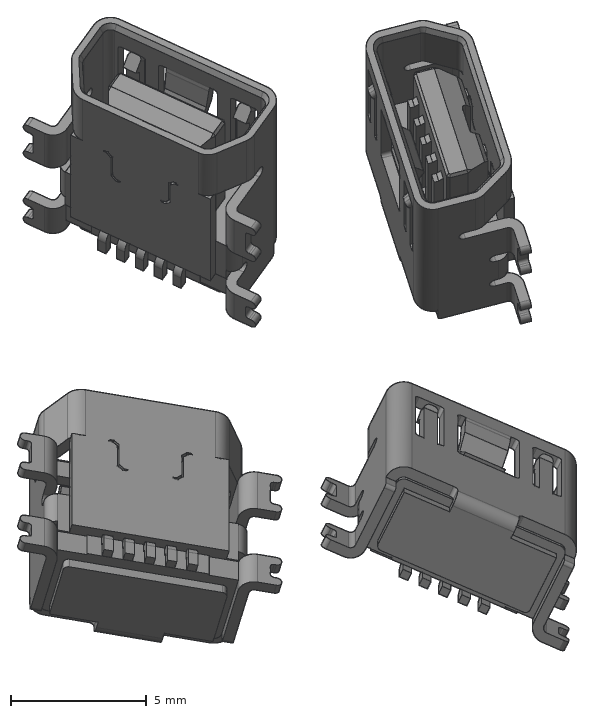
import cadquery as cq
import math


height = 9.0
half_width = 3.835
shell_front = 0.08
shell_back = 3.99
wall = 0.41
corner_radius = 0.72
keyed_front_half = 2.857
straight_y = 2.6
keyed_side_y = 1.625
skirt_z = 6.5
mouth_chamfer = 0.14
mouth_chamfer_depth = 0.22
inner_half = half_width - wall
shell_back_inner = shell_back - wall
inner_radius = corner_radius - wall

plate_half_width = 2.97
plate_bottom = 1.52
plate_back = shell_front + wall
seam_gap = 0.07

foot_thickness = 0.41
foot_reach = 4.95
leg_bend_inner = 0.2
leg_bend_outer = leg_bend_inner + wall
leg_bend_y = foot_thickness + leg_bend_inner
leg_spans = ((0.0, plate_bottom), (4.0, 6.0))
prong_width = 0.41
prong_length = 0.43
prong_root_radius = 0.14

side_slots = ((plate_bottom, 2.0, 1.29), (3.5, 4.0, 1.29), (6.0, skirt_z, 2.46))
tab_low, tab_high = 2.0, 3.5
tab_front = 0.463
tab_radius = 0.48

neck_half = 1.25
relief_z = 0.7
relief_radius = 0.17
side_back_y = 3.27
side_corner_radius = 0.15
flap_thickness = 0.41
flap_half_width = 3.095
flap_front = 0.8
flap_corner_radius = 0.2
flap_bend_inner = 0.1
flap_bend_outer = 0.45

window_top = 7.95
window_bottom = 4.2
window_radius = 0.15
centre_window_half = 1.25
latch_window_x = 2.39
latch_window_half = 0.58
latch_x = 2.345
latch_half = 0.275
latch_apex_y = 4.14
latch_apex_z = 7.31
latch_tip_rise = 0.33
latch_thickness = 0.57
latch_tip_radius = 0.2
latch_inner_y = 3.33
spring_top_half = 0.92
spring_tip_half = 0.82
spring_root_y, spring_root_z = 3.54, 7.78
spring_knee_y, spring_knee_z = 3.40, 6.95
spring_crest_y, spring_crest_z = 2.9, 6.2
spring_tip_y, spring_tip_z = 3.3, 5.3
spring_crest_radius = 0.3

housing_bottom = 0.51
housing_floor = 3.52
housing_front = 0.463
base_front = 0.52
base_step_half = 2.31
base_step_front = 0.463
tongue_top = 8.18
tongue_half = 2.28
tongue_back = 2.463
tongue_front = 0.74
tongue_side_y = 1.66
tongue_front_half = 1.75
tongue_chamfer = 0.1
slope_start_y = 1.667
slope_end_y = 0.9
slope_end_z = 7.75
nose_z = 7.55
notch_half = 0.6
notch_depth_y = 1.08
notch_radius = 0.15

pitch = 0.8
contact_width = 0.33
contact_back = 2.82
contact_fold_y = 2.64
contact_top = 7.0
contact_lead = 0.12
rail_front = 0.665
pin_width = 0.35
pin_thickness = 0.33
pin_top = 1.46
pin_bottom = 0.37
pin_bend_outer = 0.46


def block(x0, x1, y0, y1, z0, z1):
    """Box between two corners."""
    return (cq.Workplane("XY").box(x1 - x0, y1 - y0, z1 - z0, centered=False)
            .translate((x0, y0, z0)))


def both_sides(shape):
    """Shape together with its mirror image about X = 0."""
    return shape.union(shape.mirror("YZ"))


def side_profile(points, x0, x1):
    """Closed polygon of (Y, Z) points extruded from x0 to x1."""
    return cq.Workplane("YZ").workplane(offset=x0).polyline(points).close().extrude(x1 - x0)


def keyed_tube():
    """Full-height D-shaped tube with a chamfered mouth."""
    outer = (cq.Workplane("XY")
             .polyline([(-keyed_front_half, shell_front), (keyed_front_half, shell_front),
                        (half_width, keyed_side_y), (half_width, shell_back),
                        (-half_width, shell_back), (-half_width, keyed_side_y)])
             .close().extrude(height)
             .edges("|Z").fillet(corner_radius))
    cavity = (outer.faces("<Z").wires().toPending().offset2D(-wall)
              .extrude(height, combine=False))
    tube = outer.cut(cavity)
    mouth = cq.selectors.BoxSelector(
        (-wall, shell_front + wall / 2, height - wall / 2),
        (wall, shell_front + 2 * wall, height + wall / 2))
    return tube.faces(">Z").edges(mouth).chamfer(mouth_chamfer, mouth_chamfer_depth)


def side_slot(z0, z1, depth_y):
    """Round-ended slot through both side walls, open to the front."""
    radius = (z1 - z0) / 2
    return (cq.Workplane("YZ").moveTo(plate_back, z0).lineTo(depth_y - radius, z0)
            .threePointArc((depth_y, z0 + radius), (depth_y - radius, z1))
            .lineTo(plate_back, z1).close().extrude(half_width, both=True))


def flap_reliefs():
    """Cut-outs beside the flap neck, across the lower back corners."""
    relief = block(neck_half, half_width, side_back_y, shell_back, 0, relief_z)
    return both_sides(relief.edges("|Y and <X and >Z").fillet(relief_radius))


def shell_walls():
    """Tube whose keyed front gives way to straight side walls at the bottom."""
    walls = keyed_tube().cut(block(-half_width, half_width, shell_front, straight_y, 0, skirt_z))
    side = block(inner_half, half_width, leg_bend_y, straight_y, 0, skirt_z)
    walls = walls.union(both_sides(side)).cut(flap_reliefs())
    walls = walls.cut(block(-neck_half, neck_half, side_back_y, shell_back, 0, relief_z))
    lower_corners = cq.selectors.BoxSelector(
        (-foot_reach, side_back_y - wall / 2, -wall / 2),
        (foot_reach, side_back_y + wall / 2, wall / 2))
    walls = walls.edges("|X").edges(lower_corners).fillet(side_corner_radius)
    for slot_low, slot_high, slot_depth_y in side_slots:
        walls = walls.cut(side_slot(slot_low, slot_high, slot_depth_y))
    tab_bend_y = tab_front + tab_radius
    return walls.cut(block(-half_width, half_width, 0, tab_bend_y, tab_low, tab_high))


def tab():
    """Quarter-round end of the side wall, curled against the housing."""
    return (cq.Workplane("XY").workplane(offset=tab_low)
            .moveTo(inner_half, tab_front)
            .radiusArc((half_width, tab_front + tab_radius), -tab_radius)
            .lineTo(inner_half, tab_front + tab_radius).close()
            .extrude(tab_high - tab_low))


def leg(z0, z1):
    """Right-hand leg: side wall bent outwards into a forked foot."""
    tip_radius = prong_width / 2
    tip_x = foot_reach - tip_radius
    outline = (cq.Workplane("XY").workplane(offset=z0)
               .moveTo(half_width, leg_bend_y)
               .radiusArc((half_width + leg_bend_inner, foot_thickness), -leg_bend_inner)
               .lineTo(tip_x, foot_thickness).lineTo(tip_x, 0)
               .lineTo(half_width + leg_bend_inner, 0)
               .radiusArc((inner_half, leg_bend_y), leg_bend_outer)
               .close())
    fork = (block(foot_reach - prong_length, foot_reach, 0, foot_thickness,
                  z0 + prong_width, z1 - prong_width)
            .edges("|Y and <X").fillet(prong_root_radius))
    tips = (cq.Workplane("XZ")
            .pushPoints([(tip_x, z0 + tip_radius), (tip_x, z1 - tip_radius)])
            .circle(tip_radius).extrude(-foot_thickness))
    return outline.extrude(z1 - z0).cut(fork).union(tips)


def front_plate():
    """Flat plate below the keyed section."""
    return block(-plate_half_width, plate_half_width, shell_front, plate_back,
                 plate_bottom, skirt_z)


def seam():
    """Right-hand edge of the dovetail joint, a thin gap in the front plate."""
    centre_x, low, high = 1.22, 5.0, 6.47
    bevel, lead = 0.2, 0.13
    path = [(centre_x - bevel - lead, low), (centre_x - bevel, low),
            (centre_x, low + bevel), (centre_x, high - bevel),
            (centre_x + bevel, high), (centre_x + bevel + lead, high)]
    half_gap = seam_gap / 2
    left = [(x - half_gap, z + half_gap) for x, z in path]
    right = [(x + half_gap, z - half_gap) for x, z in reversed(path)]
    return (cq.Workplane("XZ", origin=(0, shell_front, 0))
            .polyline(left + right).close().extrude(-wall))


def flap():
    """Strip bent from the back wall under the housing, widening to a plate."""
    bend_y = shell_back - flap_bend_outer
    inner_y = shell_back_inner
    neck = (cq.Workplane("YZ").moveTo(shell_back, relief_z)
            .lineTo(shell_back, flap_bend_outer)
            .radiusArc((bend_y, 0), flap_bend_outer)
            .lineTo(flap_front, 0).lineTo(flap_front, flap_thickness)
            .lineTo(inner_y - flap_bend_inner, flap_thickness)
            .radiusArc((inner_y, flap_thickness + flap_bend_inner), -flap_bend_inner)
            .lineTo(inner_y, relief_z).close()
            .extrude(neck_half, both=True))
    plate = (block(-flap_half_width, flap_half_width, flap_front, side_back_y,
                   0, flap_thickness)
             .edges("|Z and <Y").fillet(flap_corner_radius))
    trim = block(-neck_half, neck_half, flap_front, bend_y, 0, flap_thickness)
    return neck.union(plate).union(trim)


def back_window(centre_x, half):
    """Rounded window through the back wall."""
    return (block(centre_x - half, centre_x + half, shell_back_inner - wall, shell_back,
                  window_bottom, window_top)
            .edges("|Y").fillet(window_radius))


def latch():
    """Right-hand latch spring, bent inwards and then out through its window."""
    kink = latch_apex_y - shell_back
    tip_y, tip_z = latch_apex_y - latch_tip_rise, latch_apex_z + latch_tip_rise
    thickness_shift = latch_thickness * math.sqrt(0.5)
    heel_y, heel_z = tip_y - thickness_shift, tip_z - thickness_shift
    inner_z = heel_z - (heel_y - latch_inner_y)
    crook_z = inner_z - (shell_back_inner - latch_inner_y)
    body = side_profile([(shell_back, window_bottom), (shell_back, latch_apex_z - kink),
                         (latch_apex_y, latch_apex_z), (tip_y, tip_z), (heel_y, heel_z),
                         (latch_inner_y, inner_z), (shell_back_inner, crook_z),
                         (shell_back_inner, window_bottom)],
                        latch_x - latch_half, latch_x + latch_half)
    tip_edges = body.edges(cq.selectors.ParallelDirSelector(cq.Vector(0, -1, 1))).edges(">Z")
    return tip_edges.fillet(latch_tip_radius)


def centre_spring():
    """Tapered leaf hanging in the centre window, with a crest pressing inwards."""
    face = [(shell_back_inner, window_top), (spring_root_y, spring_root_z),
            (spring_knee_y, spring_knee_z), (spring_crest_y, spring_crest_z),
            (spring_tip_y, spring_tip_z)]
    back = [(y + wall, z) for y, z in reversed(face)]
    leaf = side_profile(face + back, -spring_top_half, spring_top_half)
    leaf = leaf.edges("|X and <Y").fillet(spring_crest_radius)
    taper = (cq.Workplane("XZ").polyline([
        (-spring_top_half, window_top), (spring_top_half, window_top),
        (spring_tip_half, spring_tip_z), (-spring_tip_half, spring_tip_z)])
        .close().extrude(-shell_back))
    return leaf.intersect(taper)


def housing():
    """Plastic body filling the lower shell, with a set-back base."""
    body = (block(-inner_half, inner_half, housing_front, shell_back_inner,
                  housing_bottom, housing_floor)
            .edges("|Z and >Y").fillet(inner_radius))
    body = body.cut(block(-inner_half, inner_half, housing_front, base_front,
                          housing_bottom, plate_bottom))
    return body.union(block(-base_step_half, base_step_half, base_step_front, base_front,
                            housing_bottom, plate_bottom))


def tongue():
    """Keyed tongue with a sloped nose and a central notch."""
    body = (cq.Workplane("XY").workplane(offset=housing_floor)
            .polyline([(-tongue_front_half, tongue_front), (tongue_front_half, tongue_front),
                       (tongue_half, tongue_side_y), (tongue_half, tongue_back),
                       (-tongue_half, tongue_back), (-tongue_half, tongue_side_y)])
            .close().extrude(tongue_top - housing_floor))
    body = body.edges("|Z and >Y").chamfer(tongue_chamfer)
    body = body.faces(">Z").edges().chamfer(tongue_chamfer)
    nose = side_profile([(slope_start_y, tongue_top), (slope_end_y, slope_end_z),
                         (tongue_front, nose_z), (shell_front, nose_z),
                         (shell_front, height), (slope_start_y, height)],
                        -half_width, half_width)
    notch = (block(-notch_half, notch_half, shell_front, notch_depth_y,
                   housing_floor, height)
             .edges("|Z and >Y").fillet(notch_radius))
    return body.cut(nose).cut(notch)


def contact(centre_x):
    """Contact beam along the back of the tongue."""
    return side_profile([(tongue_back, housing_floor), (contact_back, housing_floor),
                         (contact_back, contact_top), (contact_fold_y, contact_top),
                         (tongue_back, contact_top + contact_lead)],
                        centre_x - contact_width / 2, centre_x + contact_width / 2)


def solder_pin(centre_x):
    """Pin leaving the base towards the board and bending down to a flat tail."""
    inner_bend = pin_bend_outer - pin_thickness
    bend_z = pin_top - pin_bend_outer
    return (cq.Workplane("YZ").workplane(offset=centre_x - pin_width / 2)
            .moveTo(base_front, pin_top).lineTo(pin_bend_outer, pin_top)
            .radiusArc((0, bend_z), -pin_bend_outer)
            .lineTo(0, pin_bottom).lineTo(pin_thickness, pin_bottom)
            .lineTo(pin_thickness, bend_z)
            .radiusArc((pin_bend_outer, bend_z + inner_bend), inner_bend)
            .lineTo(base_front, bend_z + inner_bend).close()
            .extrude(pin_width))


shell = shell_walls().union(front_plate()).union(both_sides(tab()))
for leg_low, leg_high in leg_spans:
    shell = shell.union(both_sides(leg(leg_low, leg_high)))
shell = shell.union(flap()).cut(both_sides(seam()))
shell = shell.cut(back_window(0, centre_window_half))
shell = shell.cut(both_sides(back_window(latch_window_x, latch_window_half)))
shell = shell.union(both_sides(latch())).union(centre_spring())

result = shell.union(housing()).union(tongue())
for step in (-2, -1, 0, 1, 2):
    result = result.union(contact(step * pitch)).union(solder_pin(step * pitch))
for rail_x in (-1.5 * pitch, 1.5 * pitch):
    rail = block(rail_x - contact_width / 2, rail_x + contact_width / 2,
                 rail_front, tongue_front, housing_floor, nose_z)
    result = result.union(rail)